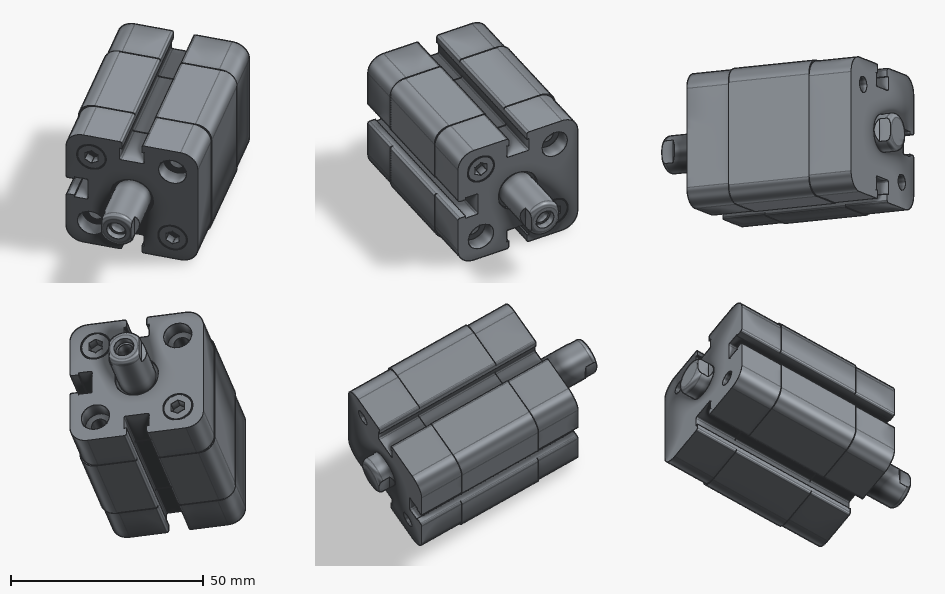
import cadquery as cq
import math

total_length = 67.0
front_rod_length = 14.5
rear_rod_length = 4.5
cap_length = 12.25
front_tip = -total_length / 2
rear_tip = total_length / 2
front_face = front_tip + front_rod_length
rear_face = rear_tip - rear_rod_length

barrel_width = 36.1
cap_step = 0.2
cap_width = barrel_width - 2 * cap_step
cap_corner_radius = 4.7
barrel_corner_radius = 4.4

slot_mouth_width = 5.4
slot_inner_width = 6.6
slot_lip_thickness = 2.5
slot_depth = 5.95
slot_floor_radius = 0.4
slot_rim_radius = 0.6
slot_angles = (0, 90, 180)

hole_offset = 11.0
through_diameter = 4.15
counterbore_diameter = 7.5
counterbore_depth = 4.4
screw_recess_diameter = 8.0
screw_head_diameter = 7.5
screw_gap_depth = 0.4
hex_width = 3.55
hex_depth = 2.7

rod_diameter = 10.0
rod_tip_radius = 1.3
rod_recess_diameter = 11.6
rod_recess_depth = 1.0
flat_width = 8.0
flat_length = 3.35
thread_diameter = 4.15
thread_depth = 8.05
drill_point_angle = 118
thread_relief_diameter = 5.2
thread_relief_depth = 2.0


def cylinder(diameter, y_start, length, x=0, z=0):
    """Cylinder along +Y from y_start."""
    return cq.Workplane(cq.Solid.makeCylinder(
        diameter / 2, length, cq.Vector(x, y_start, z), cq.Vector(0, 1, 0)))


def block(x_size, z_size, z_bottom, y_start, length):
    """Block centred on X, standing on z_bottom and running along +Y."""
    return cq.Workplane("XY").box(x_size, length, z_size, centered=(True, False, False)).translate(
        (0, y_start, z_bottom))


def mouth_flare(width, y_start, length):
    """Cutter that rounds both outer rims of the top slot on a section of the given width."""
    top = width / 2
    rim = slot_mouth_width / 2
    radius = slot_rim_radius
    sag = radius * (1 - math.sqrt(0.5))
    return (
        cq.Workplane("XZ", origin=(0, y_start, 0))
        .moveTo(-rim - radius, top)
        .threePointArc((-rim - sag, top - sag), (-rim, top - radius))
        .lineTo(rim, top - radius)
        .threePointArc((rim + sag, top - sag), (rim + radius, top))
        .close()
        .extrude(-length)
    )


def body_section(width, corner_radius, y_start, length):
    """Rounded square prism with an undercut slot in its top, left and bottom sides."""
    section = block(width, width, -width / 2, y_start, length).edges("|Y").fillet(corner_radius)
    floor = width / 2 - slot_depth
    ceiling = barrel_width / 2 - slot_lip_thickness
    inner = block(slot_inner_width, ceiling - floor, floor, y_start, length)
    inner = inner.edges("|Y and <Z").fillet(slot_floor_radius)
    mouth = block(slot_mouth_width, barrel_width / 2 - floor, floor, y_start, length)
    slot = inner.union(mouth).union(mouth_flare(width, y_start, length))
    for angle in slot_angles:
        section = section.cut(slot.rotate((0, 0, 0), (0, 1, 0), -angle))
    return section


def through_hole(x, z):
    """Counterbored hole through the whole body."""
    hole = cylinder(through_diameter, front_face, rear_face - front_face, x, z)
    return hole.union(cylinder(counterbore_diameter, front_face, counterbore_depth, x, z))


def screw_head(x, z):
    """Material removed around and inside a socket screw head flush with the front face."""
    gap = cylinder(screw_recess_diameter, front_face, screw_gap_depth, x, z)
    gap = gap.cut(cylinder(screw_head_diameter, front_face, screw_gap_depth, x, z))
    hex_corner_diameter = hex_width / math.cos(math.pi / 6)
    socket = cq.Workplane("XY").polygon(6, hex_corner_diameter).extrude(hex_depth)
    socket = socket.rotate((0, 0, 0), (0, 0, 1), 90).rotate((0, 0, 0), (1, 0, 0), -90)
    return gap.union(socket.translate((x, front_face, z)))


def piston_rod():
    """Rod with rounded tips, a pair of wrench flats at each tip and a tapped front end."""
    rod = cylinder(rod_diameter, front_tip, total_length)
    rod = rod.edges("%CIRCLE").fillet(rod_tip_radius)
    radius = rod_diameter / 2
    flat = flat_width / 2
    run_out = radius - flat
    flat_cut = (
        cq.Workplane("XY")
        .moveTo(flat, front_tip)
        .lineTo(flat, front_tip + flat_length)
        .lineTo(radius, front_tip + flat_length + run_out)
        .lineTo(radius, front_tip)
        .close()
        .extrude(radius, both=True)
    )
    flat_cuts = flat_cut.union(flat_cut.mirror("YZ"))
    rod = rod.cut(flat_cuts).cut(flat_cuts.mirror("XZ"))
    thread_radius = thread_diameter / 2
    point_length = thread_radius / math.tan(math.radians(drill_point_angle / 2))
    relief_radius = thread_relief_diameter / 2
    thread_hole = (
        cq.Workplane("XY")
        .moveTo(0, front_tip)
        .lineTo(relief_radius, front_tip)
        .lineTo(relief_radius, front_tip + thread_relief_depth)
        .lineTo(thread_radius, front_tip + thread_relief_depth)
        .lineTo(thread_radius, front_tip + thread_depth)
        .lineTo(0, front_tip + thread_depth + point_length)
        .close()
        .revolve(360, (0, 0, 0), (0, 1, 0))
    )
    return rod.cut(thread_hole)


barrel_length = rear_face - front_face - 2 * cap_length
body = body_section(cap_width, cap_corner_radius, front_face, cap_length)
body = body.union(body_section(barrel_width, barrel_corner_radius, front_face + cap_length, barrel_length))
body = body.union(body_section(cap_width, cap_corner_radius, rear_face - cap_length, cap_length))

for side in (-1, 1):
    offset = side * hole_offset
    body = body.cut(through_hole(offset, offset))
    body = body.cut(screw_head(offset, -offset))

body = body.cut(cylinder(rod_recess_diameter, front_face, rod_recess_depth))
result = body.union(piston_rod())